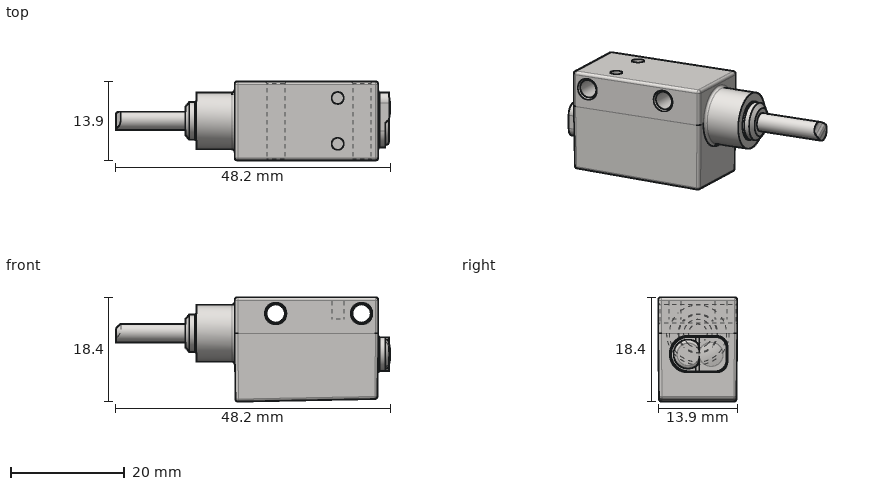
import cadquery as cq
import math


body_length = 25.25
body_width = 13.9
top_z = 6.35
bottom_z = -12.05
draft_angle = 0.7
bottom_slope = 0.5
edge_radius = 0.55

mount_diameter = 3.2
mount_rim_diameter = 3.8
mount_x = (7.2, 22.3)
mount_z = 3.45
blind_diameter = 2.1
blind_depth = 3.85
blind_x = 18.1
blind_spacing = 8.05

collar_radius = 5.0
collar_length = 6.7
collar_root_radius = 0.5
relief_radius = 3.3
relief_tip_radius = 2.5
relief_end = 8.6
relief_bevel = 0.67
relief_root = 0.3
relief_root_step = 0.15
cable_radius = 1.65
cable_end = 20.8

cut_roll = 33.0
cut_slope = 38.0
cut_start = -0.25
cut_line_start = 0.25
cut_line_end = 0.67

panel_y = -1.7
panel_z = -3.65
panel_radius = 3.0
panel_top_y = 5.0
panel_corner_radius = 1.8
panel_height = 1.9
panel_root_flare = 0.25
flare_angle = 45.0
ledge_height = 1.25
ledge_wall_top_y = 0.25
ledge_wall_foot_y = -0.35
knob_radius = 2.55
knob_edge_radius = 0.6
lens_y = 2.3
lens_radius = 2.1
lens_height = 0.25

embed = 0.25


def parting_outline():
    return cq.Workplane("XY").center(body_length / 2, 0).rect(body_length, body_width)


def make_housing():
    """Box with a drafted lower half and a slightly sloping underside, all outer edges rounded."""
    upper = parting_outline().extrude(top_z).edges("|Z or >Z").fillet(edge_radius)
    lower = parting_outline().extrude(bottom_z, taper=draft_angle)
    underside = (
        cq.Workplane("XZ")
        .moveTo(0, bottom_z)
        .lineTo(body_length, bottom_z + bottom_slope)
        .lineTo(body_length, bottom_z)
        .close()
        .extrude(body_width, both=True)
    )
    lower = lower.cut(underside).edges("not >Z").fillet(edge_radius)
    return upper.union(lower)


def cut_mounting_holes(housing):
    """Through holes along Y with a 45 degree chamfer on both rims."""
    rim = (mount_rim_diameter - mount_diameter) / 2
    half_width = body_width / 2
    radius = mount_diameter / 2
    for x in mount_x:
        cutter = (
            cq.Workplane("XY", origin=(x, 0, mount_z))
            .moveTo(0, -half_width)
            .lineTo(radius + rim, -half_width)
            .lineTo(radius, -half_width + rim)
            .lineTo(radius, half_width - rim)
            .lineTo(radius + rim, half_width)
            .lineTo(0, half_width)
            .close()
            .revolve(360, (0, 0), (0, 1))
        )
        housing = housing.cut(cutter)
    return housing


def cut_blind_holes(housing):
    cutter = (
        cq.Workplane("XY", origin=(blind_x, 0, top_z))
        .rarray(0.5, blind_spacing, 1, 2)
        .circle(blind_diameter / 2)
        .extrude(-blind_depth)
    )
    return housing.cut(cutter)


def make_cable_outlet():
    """Collar with a flared root, strain relief and cable, turned about the X axis."""
    root_outer = collar_radius + collar_root_radius
    root_inset = collar_root_radius * (1 - math.sqrt(0.5))
    return (
        cq.Workplane("XY")
        .moveTo(embed, 0)
        .lineTo(embed, root_outer)
        .lineTo(0, root_outer)
        .threePointArc((-root_inset, collar_radius + root_inset), (-collar_root_radius, collar_radius))
        .lineTo(-collar_length, collar_radius)
        .lineTo(-collar_length, relief_radius + relief_root_step)
        .lineTo(-collar_length - relief_root, relief_radius)
        .lineTo(-relief_end + relief_bevel, relief_radius)
        .lineTo(-relief_end, relief_tip_radius)
        .lineTo(-relief_end, cable_radius)
        .lineTo(-cable_end, cable_radius)
        .lineTo(-cable_end, 0)
        .close()
        .revolve(360, (0, 0), (1, 0))
    )


def make_tip_cutter():
    """S-shaped cut: a convex round, a straight slope and a concave round."""
    arc_rise = math.tan(math.radians(cut_slope / 2))
    line_rise = math.tan(math.radians(cut_slope))
    line_start_x = -cable_end + (cut_line_start - cut_start) * arc_rise
    line_end_x = line_start_x + (cut_line_end - cut_line_start) * line_rise
    floor_x = line_end_x + (cable_radius - cut_line_end) * arc_rise
    return (
        cq.Workplane("XZ")
        .moveTo(-cable_end, cut_start - embed)
        .lineTo(-cable_end, cut_start)
        .tangentArcPoint((line_start_x, cut_line_start), relative=False)
        .lineTo(line_end_x, cut_line_end)
        .tangentArcPoint((floor_x, cable_radius), relative=False)
        .lineTo(floor_x, cable_radius + embed)
        .lineTo(-cable_end - embed, cable_radius + embed)
        .lineTo(-cable_end - embed, cut_start - embed)
        .close()
        .extrude(2 * cable_radius, both=True)
        .rotate((0, 0, 0), (1, 0, 0), -cut_roll)
    )


def panel_outline(start_x, margin=0.0):
    """Round at the -Y end and square with rounded corners at the +Y end."""
    radius = panel_radius + margin
    corner = panel_corner_radius + margin
    top_y = panel_top_y + margin
    return (
        cq.Workplane("YZ", origin=(start_x, 0, 0))
        .moveTo(panel_y, panel_z + radius)
        .threePointArc((panel_y - radius, panel_z), (panel_y, panel_z - radius))
        .lineTo(top_y - corner, panel_z - radius)
        .radiusArc((top_y, panel_z - radius + corner), -corner)
        .lineTo(top_y, panel_z + radius - corner)
        .radiusArc((top_y - corner, panel_z + radius), -corner)
        .close()
    )


def make_panel():
    """Panel stepped down around the knob, with a low domed lens on its high part."""
    base_x = body_length - embed
    base = panel_outline(base_x, panel_root_flare).extrude(embed)
    root = panel_outline(body_length, panel_root_flare).extrude(panel_root_flare, taper=flare_angle)
    panel = panel_outline(base_x).extrude(embed + panel_height)
    top_x = body_length + panel_height
    ledge_x = body_length + ledge_height
    end_y = panel_y - 2 * panel_radius
    step = (
        cq.Workplane("XY", origin=(0, 0, panel_z))
        .moveTo(top_x, end_y)
        .lineTo(top_x, ledge_wall_top_y)
        .lineTo(ledge_x, ledge_wall_foot_y)
        .lineTo(ledge_x, end_y)
        .close()
        .extrude(2 * panel_radius, both=True)
    )
    knob = (
        cq.Workplane("YZ", origin=(body_length, panel_y, panel_z))
        .circle(knob_radius)
        .extrude(panel_height)
    )
    knob = knob.faces(">X").edges().fillet(knob_edge_radius)
    dome_radius = (lens_radius**2 + lens_height**2) / (2 * lens_height)
    dome_middle_y = lens_radius / 2
    dome_drop = dome_radius - math.sqrt(dome_radius**2 - dome_middle_y**2)
    dome_middle = (lens_height - dome_drop, dome_middle_y)
    lens = (
        cq.Workplane("XY", origin=(top_x, lens_y, panel_z))
        .moveTo(-panel_height, 0)
        .lineTo(-panel_height, lens_radius)
        .lineTo(0, lens_radius)
        .threePointArc(dome_middle, (lens_height, 0))
        .close()
        .revolve(360, (0, 0), (1, 0))
    )
    return panel.cut(step).union(base).union(root).union(knob).union(lens)


housing = cut_blind_holes(cut_mounting_holes(make_housing()))
cable_outlet = make_cable_outlet().cut(make_tip_cutter())
result = housing.union(cable_outlet).union(make_panel())